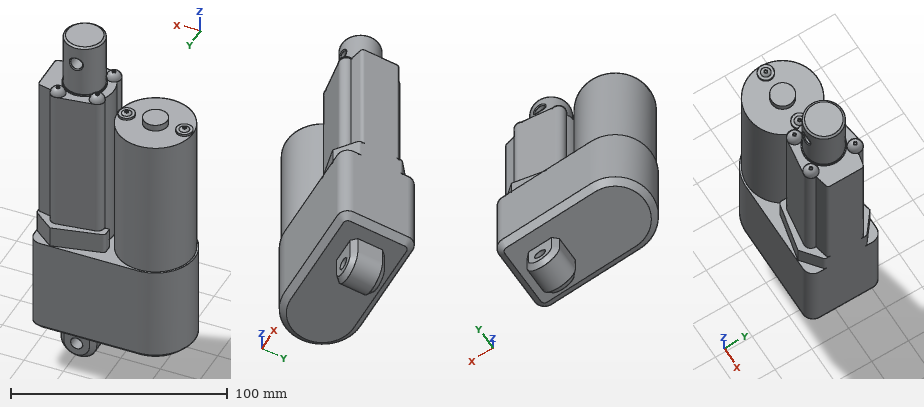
import cadquery as cq
import math


housing_width = 40.0
housing_radius = housing_width / 2
housing_length = 75.0
housing_height = 51.3
housing_corner_radius = 5.5
housing_chamfer = 3.3
housing_end_x = housing_length - housing_radius
embed_z = housing_height / 2

motor_diameter = 38.0
motor_top = 123.5
boss_diameter = 12.0
boss_height = 3.3
motor_screw_offset = 14.6
washer_diameter = 8.0
washer_height = 1.1
motor_screw_diameter = 5.0
motor_screw_dome = 1.1

rod_x = 35.9
lug_bottom = -19.5
lug_width = 18.1
lug_chamfer = 2.5
lug_hole_diameter = 6.0
lug_axis_z = lug_bottom + lug_width / 2

column_top = 135.7
column_bulge_radius = 14.8
column_bulge_half_width = 7.3
lobe_radius = 3.7
rear_lobe = (25.3, 9.3)
front_lobe = (44.0, 12.0)
shoulder_depth = 11.5
column_end_depth = 9.9
column_end_radius = 1.6
column_screw_diameter = 7.5
column_screw_dome = 3.5

recess_span = 1.6
recess_width = 0.7
recess_depth = 0.7

collar_top = 61.7
collar_rear_x = 19.2
collar_rear_depth = 14.0
collar_apex_x = 44.7
collar_apex_depth = 19.5
collar_end_depth = 11.4
collar_corner_radius = 1.6
collar_gap_width = 18.3

rod_top = lug_bottom + 183.0
rod_diameter = 20.0
rod_chamfer_axial = 0.7
rod_chamfer_radial = 1.1
rod_hole_diameter = 6.0
rod_hole_chamfer = 0.5
rod_hole_z = 153.5
seal_diameter = 21.0
seal_height = 0.7


def cylinder(x, y, diameter, bottom, top):
    """Upright cylinder between two heights."""
    return cq.Workplane("XY", origin=(x, y, bottom)).circle(diameter / 2).extrude(top - bottom)


def cross_hole(x, z, diameter):
    """Long cutter along Y, centred on Y = 0."""
    return cq.Workplane("XZ", origin=(x, 0, z)).circle(diameter / 2).extrude(housing_width, both=True)


def domed_screw(x, y, base, diameter, dome):
    """Screw head shaped as a spherical cap with a cross recess in its crown."""
    radius = diameter / 2
    sphere_radius = (radius**2 + dome**2) / (2 * dome)
    sphere = cq.Workplane("XY").sphere(sphere_radius).translate((x, y, base + dome - sphere_radius))
    head = sphere.intersect(cylinder(x, y, diameter, base, base + dome))
    crown = cq.Workplane("XY", origin=(x, y, base + dome - recess_depth))
    recess = crown.rect(recess_span, recess_width).extrude(recess_depth)
    recess = recess.union(crown.rect(recess_width, recess_span).extrude(recess_depth))
    return head.cut(recess)


def gear_housing():
    """Box rounded around the motor at -X, with filleted corners at +X."""
    body = (
        cq.Workplane("XY")
        .moveTo(0, -housing_radius)
        .lineTo(housing_end_x, -housing_radius)
        .lineTo(housing_end_x, housing_radius)
        .lineTo(0, housing_radius)
        .threePointArc((-housing_radius, 0), (0, -housing_radius))
        .close()
        .extrude(housing_height)
    )
    body = body.edges("|Z and >X").fillet(housing_corner_radius)
    return body.faces("<Z").edges().chamfer(housing_chamfer)


def motor():
    """Motor can with its end boss and two screws on washers."""
    can = cylinder(0, 0, motor_diameter, embed_z, motor_top)
    can = can.union(cylinder(0, 0, boss_diameter, motor_top, motor_top + boss_height))
    washer_top = motor_top + washer_height
    for x in (-motor_screw_offset, motor_screw_offset):
        can = can.union(cylinder(x, 0, washer_diameter, motor_top, washer_top))
        can = can.union(domed_screw(x, 0, washer_top, motor_screw_diameter, motor_screw_dome))
    return can


def column():
    """Rod column: tapered body, bulged towards the motor, with a lobe at each screw."""
    bulge_end_x = rod_x - math.sqrt(column_bulge_radius**2 - column_bulge_half_width**2)
    flank_angle = math.atan2(front_lobe[1] - rear_lobe[1], front_lobe[0] - rear_lobe[0])
    flank_x = -lobe_radius * math.sin(flank_angle)
    flank_y = lobe_radius * math.cos(flank_angle)
    upper_side = [
        (bulge_end_x, column_bulge_half_width),
        (rear_lobe[0] + flank_x, rear_lobe[1] + flank_y),
        (front_lobe[0] + flank_x, front_lobe[1] + flank_y),
        (front_lobe[0] + lobe_radius, shoulder_depth),
        (housing_end_x, column_end_depth),
    ]
    lower_side = [(x, -y) for x, y in reversed(upper_side)]
    body = (
        cq.Workplane("XY", origin=(0, 0, embed_z))
        .polyline(upper_side + lower_side)
        .threePointArc((rod_x - column_bulge_radius, 0), upper_side[0])
        .close()
        .extrude(column_top - embed_z)
    )
    body = body.edges("|Z and >X").fillet(column_end_radius)
    for x, depth in (rear_lobe, front_lobe):
        for y in (-depth, depth):
            body = body.union(cylinder(x, y, 2 * lobe_radius, embed_z, column_top))
            body = body.union(domed_screw(x, y, column_top, column_screw_diameter, column_screw_dome))
    return body


def collar():
    """Socket around the column foot, open on the motor side."""
    upper_side = [
        (collar_rear_x, collar_rear_depth),
        (collar_apex_x, collar_apex_depth),
        (housing_end_x, collar_end_depth),
    ]
    lower_side = [(x, -y) for x, y in reversed(upper_side)]
    height = collar_top - housing_height
    body = (
        cq.Workplane("XY", origin=(0, 0, housing_height))
        .polyline(upper_side + lower_side)
        .close()
        .extrude(height)
    )
    body = body.edges("|Z and (<X or >X)").fillet(collar_corner_radius)
    gap = (
        cq.Workplane("XY", origin=(collar_rear_x, 0, housing_height))
        .rect(2 * (rear_lobe[0] - collar_rear_x), collar_gap_width)
        .extrude(height)
    )
    return body.cut(gap)


def rod():
    """Round rod with a chamfered tip, a pin hole and a seal ring at its root."""
    shaft = cylinder(rod_x, 0, rod_diameter, column_top, rod_top)
    shaft = shaft.faces(">Z").edges().chamfer(rod_chamfer_axial, rod_chamfer_radial)
    shaft = shaft.cut(cross_hole(rod_x, rod_hole_z, rod_hole_diameter))
    hole_zone = cq.selectors.BoxSelector(
        (rod_x - rod_hole_diameter, -rod_diameter, rod_hole_z - rod_hole_diameter),
        (rod_x + rod_hole_diameter, rod_diameter, rod_hole_z + rod_hole_diameter),
    )
    shaft = shaft.edges(hole_zone).edges("not %LINE").chamfer(rod_hole_chamfer)
    return shaft.union(cylinder(rod_x, 0, seal_diameter, column_top, column_top + seal_height))


def clevis_lug():
    """Square lug with a rounded end, chamfered along both faces."""
    half_width = lug_width / 2
    lug = (
        cq.Workplane("XZ", origin=(rod_x, 0, lug_axis_z))
        .moveTo(-half_width, 0)
        .threePointArc((0, -half_width), (half_width, 0))
        .lineTo(half_width, -lug_axis_z)
        .lineTo(-half_width, -lug_axis_z)
        .close()
        .extrude(half_width, both=True)
    )
    lug = lug.faces("<Y or >Y").edges("not >Z").chamfer(lug_chamfer)
    return lug.cut(cross_hole(rod_x, lug_axis_z, lug_hole_diameter))


result = gear_housing().union(motor()).union(collar()).union(column()).union(rod()).union(clevis_lug())